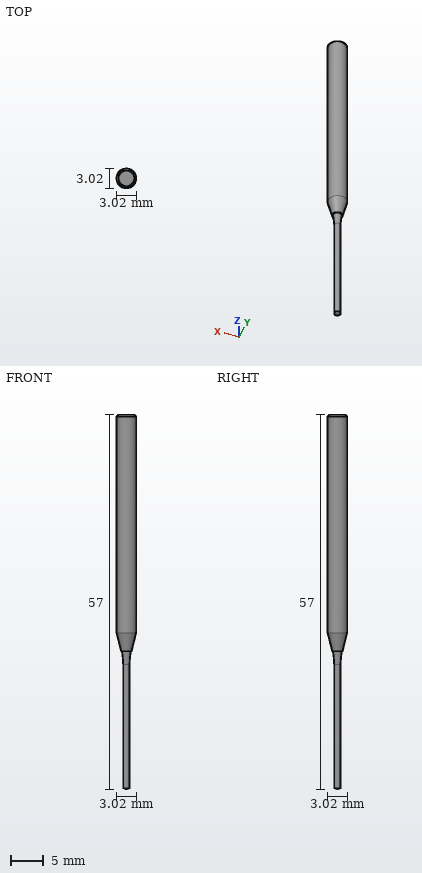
import cadquery as cq

total_length = 57.0
shank_radius = 1.51
drill_radius = 0.5

tip_height = 0.15
drill_length = 19.0
neck_length = 2.0
cone_length = 2.85

cone_end_radius = 0.8
neck_top_radius = 0.7
neck_middle_radius = 0.55

top_chamfer = 0.315

neck_top = drill_length + neck_length
neck_middle = drill_length + neck_length / 2
cone_top = neck_top + cone_length


def revolve_about_axis(profile):
    """Turn a closed half profile into a solid around the Z axis."""
    return profile.revolve(360, (0, 0, 0), (0, 1, 0))


def make_shank():
    """Round shank with a chamfered top and a cone at its lower end."""
    profile = (
        cq.Workplane("XZ")
        .moveTo(0, neck_top)
        .lineTo(cone_end_radius, neck_top)
        .lineTo(shank_radius, cone_top)
        .lineTo(shank_radius, total_length - top_chamfer)
        .lineTo(shank_radius - top_chamfer, total_length)
        .lineTo(0, total_length)
        .close()
    )
    return revolve_about_axis(profile)


def make_drill():
    """Slender round drill with a pointed tip and a concave neck that flares up to the cone."""
    profile = (
        cq.Workplane("XZ")
        .moveTo(0, 0)
        .lineTo(drill_radius, tip_height)
        .lineTo(drill_radius, drill_length)
        .threePointArc((neck_middle_radius, neck_middle), (neck_top_radius, neck_top))
        .lineTo(0, neck_top)
        .close()
    )
    return revolve_about_axis(profile)


shank = make_shank()
drill = make_drill()

result = cq.Compound.makeCompound([shank.val(), drill.val()])